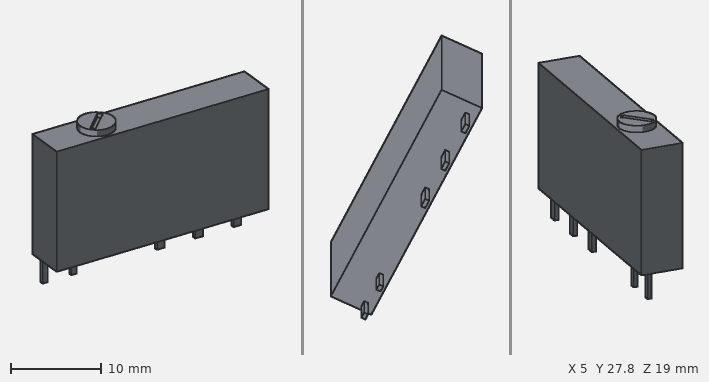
import cadquery as cq

HOUSING_WIDTH = 5.0
HOUSING_LENGTH = 27.8
HOUSING_HEIGHT = 15.0

SCREW_DIAMETER = 4.3
SCREW_HEIGHT = 0.8
SCREW_Y = -7.1
SLOT_LENGTH = 3.61
SLOT_WIDTH = 0.6
SLOT_DEPTH = 0.5
SLOT_ANGLE = -45.0

PIN_LENGTH = 3.17
PIN_THICKNESS = 0.5
PIN_X = -1.3
WIDE_PIN_WIDTH = 1.0
NARROW_PIN_WIDTH = 0.7
WIDE_PIN_PITCH = 5.03
NARROW_PIN_PITCH = 3.78
WIDE_PIN_COUNT = 3
NARROW_PIN_COUNT = 2
LAST_WIDE_PIN_Y = 12.1
FIRST_NARROW_PIN_Y = -13.12


def make_housing():
    return cq.Workplane("XY").box(
        HOUSING_WIDTH, HOUSING_LENGTH, HOUSING_HEIGHT, centered=(True, True, False)
    )


def make_screw():
    disc = cq.Workplane("XY").circle(SCREW_DIAMETER / 2).extrude(SCREW_HEIGHT)
    slot = (
        cq.Workplane("XY", origin=(0, 0, SCREW_HEIGHT - SLOT_DEPTH))
        .rect(SLOT_LENGTH, SLOT_WIDTH)
        .extrude(SLOT_DEPTH)
        .rotate((0, 0, 0), (0, 0, 1), SLOT_ANGLE)
    )
    return disc.cut(slot).translate((0, SCREW_Y, HOUSING_HEIGHT))


def make_pin(width, y):
    return (
        cq.Workplane("XY", origin=(PIN_X, y, 0))
        .rect(PIN_THICKNESS, width)
        .extrude(-PIN_LENGTH)
    )


housing = make_housing()
screw = make_screw()

pins = []
for i in range(WIDE_PIN_COUNT):
    pins.append(make_pin(WIDE_PIN_WIDTH, LAST_WIDE_PIN_Y - i * WIDE_PIN_PITCH))
for i in range(NARROW_PIN_COUNT):
    pins.append(make_pin(NARROW_PIN_WIDTH, FIRST_NARROW_PIN_Y + i * NARROW_PIN_PITCH))

result = cq.Compound.makeCompound([housing.val(), screw.val(), *[pin.val() for pin in pins]])